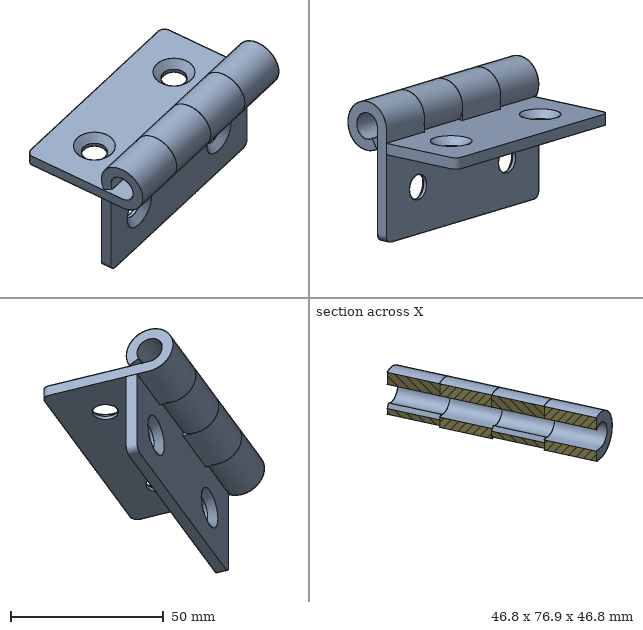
import cadquery as cq
import math

hinge_length = 76.9
leaf_reach = 38.45
sheet = 3.85
knuckle_radius = 8.3
bore_radius = knuckle_radius - sheet
roll_end_angle = 210.0
knuckle_count = 4
knuckle_length = hinge_length / knuckle_count

corner_radius = 2.5
hole_diameter = 8.5
countersink_diameter = 13.7
countersink_angle = 90.0
hole_edge_distance = 15.9
hole_spacing = 44.9

plate_length = leaf_reach - knuckle_radius
plate_bottom = -knuckle_radius
plate_top = plate_bottom + sheet


def on_circle(radius, angle):
    """Point (x, z) on a circle about the hinge axis, angle in degrees."""
    return (radius * math.cos(math.radians(angle)), radius * math.sin(math.radians(angle)))


def make_plate():
    """Flat part of the leaf, with rounded free corners and countersunk holes."""
    plate = (
        cq.Workplane("XY", origin=(-leaf_reach, 0, plate_bottom))
        .box(plate_length, hinge_length, sheet, centered=(False, True, False))
        .edges("|Z and <X")
        .fillet(corner_radius)
    )
    hole_x = hole_edge_distance - leaf_reach
    return (
        plate.copyWorkplane(cq.Workplane("XY", origin=(hole_x, 0, plate_top)))
        .pushPoints([(0, -hole_spacing / 2), (0, hole_spacing / 2)])
        .cskHole(hole_diameter, countersink_diameter, countersink_angle)
    )


def make_knuckle(start_y):
    """One rolled knuckle, starting at start_y and running toward +Y."""
    mid_angle = (roll_end_angle - 90.0) / 2
    return (
        cq.Workplane("XZ", origin=(0, start_y, 0))
        .moveTo(-knuckle_radius, plate_bottom)
        .lineTo(0, plate_bottom)
        .threePointArc(on_circle(knuckle_radius, mid_angle), on_circle(knuckle_radius, roll_end_angle))
        .lineTo(*on_circle(bore_radius, roll_end_angle))
        .threePointArc(on_circle(bore_radius, mid_angle), (0, plate_top))
        .lineTo(-knuckle_radius, plate_top)
        .close()
        .extrude(-knuckle_length)
    )


def make_leaf():
    """Horizontal leaf: a plate with every second knuckle, starting at the -Y end."""
    leaf = make_plate()
    for index in range(0, knuckle_count, 2):
        leaf = leaf.union(make_knuckle(-hinge_length / 2 + index * knuckle_length))
    return leaf


leaves = []
for turn in (0, 180):
    leaves.append(make_leaf().rotate((0, 0, 0), (1, 0, 1), turn))

result = cq.Compound.makeCompound([leaf.val() for leaf in leaves])